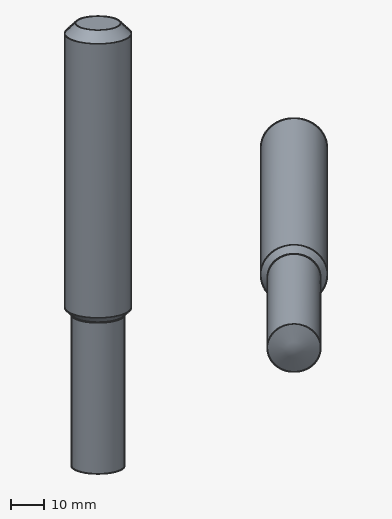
import cadquery as cq
import math

total_length = 142.0
shank_diameter = 20.0
pin_diameter = 16.0

shank_length = 92.0
top_bevel = 3.3
neck_height = 0.3

tip_angle = 16.0

shank_radius = shank_diameter / 2
pin_radius = pin_diameter / 2
joint_height = total_length - shank_length
bottom_bevel = shank_radius - pin_radius
neck_top = joint_height + neck_height
tip_height = pin_radius * math.tan(math.radians(tip_angle))


def revolve_profile(points):
    """Turn a closed (radius, height) outline around the Z axis."""
    return cq.Workplane("XZ").polyline(points).close().revolve(360, (0, 0, 0), (0, 1, 0))


def make_shank():
    """Solid round shank, bevelled at both ends."""
    return revolve_profile([
        (0, joint_height),
        (pin_radius, joint_height),
        (pin_radius, neck_top),
        (shank_radius, neck_top + bottom_bevel),
        (shank_radius, total_length - top_bevel),
        (shank_radius - top_bevel, total_length),
        (0, total_length),
    ])


def make_pin():
    """Round pin that butts against the lower face of the shank."""
    return revolve_profile([
        (0, 0),
        (pin_radius, tip_height),
        (pin_radius, joint_height),
        (0, joint_height),
    ])


shank = make_shank()
pin = make_pin()

result = cq.Compound.makeCompound([shank.val(), pin.val()])